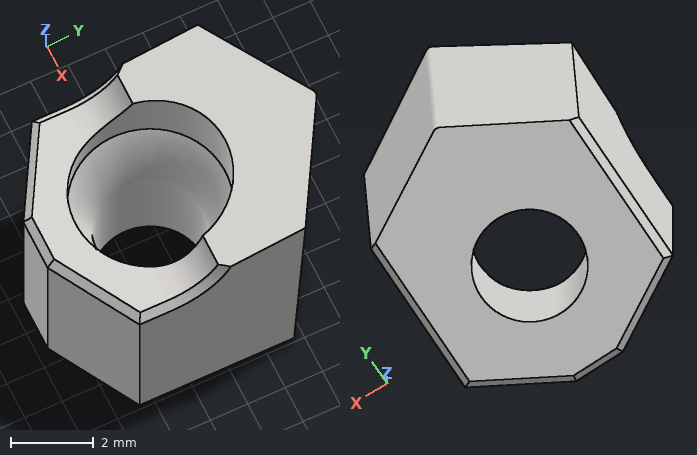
import cadquery as cq
import math

width = 6.0
length = 7.5
height = 6.5
half_width = width / 2
flank_angle = math.radians(30)
flank_rise = half_width * math.tan(flank_angle)
nose_y = -3.075
back_y = nose_y + length
back_lean = 0.33
back_round = 0.2
chamfer = 0.2

roof_angle = 10.0
ledge_z = 5.0
ledge_end_y = -0.86
step_radius = 1.5

bore_radius = 1.4
head_radius = 2.0
seat_z = 4.275
seat_radius = 2.5

clearance = 1.5


def front_blank():
    """Straight prism with the truncated hexagon nose, left long at the back."""
    corner_y = -flank_rise
    nose_half = half_width + (nose_y - corner_y) / math.tan(flank_angle)
    blank_back_y = back_y + clearance
    return (
        cq.Workplane("XY")
        .polyline([
            (-nose_half, nose_y),
            (nose_half, nose_y),
            (half_width, corner_y),
            (half_width, blank_back_y),
            (-half_width, blank_back_y),
            (-half_width, corner_y),
        ])
        .close()
        .extrude(height + clearance)
    )


def ledge_cutter():
    """Material above the ledge and in front of the concave step."""
    front_y = nose_y - clearance
    step_y = ledge_end_y + step_radius
    top_z = height + 2 * clearance
    arc_z = ledge_z + step_radius
    diagonal = step_radius * math.sqrt(0.5)
    return (
        cq.Workplane("YZ")
        .moveTo(front_y, ledge_z)
        .lineTo(ledge_end_y, ledge_z)
        .threePointArc((ledge_end_y + diagonal, arc_z - diagonal), (step_y, arc_z))
        .lineTo(step_y, top_z)
        .lineTo(front_y, top_z)
        .close()
        .extrude(width, both=True)
    )


def back_envelope():
    """Leaning prism with a rounded back corner and a sloping roof."""
    corner_loss = back_round * (1 / math.cos(flank_angle) - 1)
    sharp_y = back_y - back_lean + corner_loss
    round_x = back_round * math.sin(flank_angle)
    round_y = sharp_y - round_x * math.tan(flank_angle)
    outer_x = half_width + clearance
    outer_y = sharp_y - outer_x * math.tan(flank_angle)
    front_y = nose_y - clearance
    outline = (
        cq.Workplane("XY")
        .moveTo(-outer_x, front_y)
        .lineTo(outer_x, front_y)
        .lineTo(outer_x, outer_y)
        .lineTo(round_x, round_y)
        .threePointArc((0, back_y - back_lean), (-round_x, round_y))
        .lineTo(-outer_x, outer_y)
        .close()
        .val()
    )
    leaning = cq.Solid.extrudeLinear(outline, [], cq.Vector(0, back_lean, height))
    roof_front_z = height - (back_y - front_y) * math.tan(math.radians(roof_angle))
    under_roof = (
        cq.Workplane("YZ")
        .polyline([(front_y, 0), (back_y, 0), (back_y, height), (front_y, roof_front_z)])
        .close()
        .extrude(2 * width, both=True)
    )
    return cq.Workplane("XY").add(leaning).intersect(under_roof)


def bore_cutter():
    """Screw-head recess, convex flared seat and through bore as one revolved profile."""
    flare_width = head_radius - bore_radius
    flare_depth = math.sqrt(seat_radius**2 - (seat_radius - flare_width) ** 2)
    throat_z = seat_z - flare_depth
    half_angle = math.asin(flare_depth / seat_radius) / 2
    flare_mid = (
        bore_radius + seat_radius * (1 - math.cos(half_angle)),
        throat_z + seat_radius * math.sin(half_angle),
    )
    return (
        cq.Workplane("XZ")
        .moveTo(0, 0)
        .lineTo(bore_radius, 0)
        .lineTo(bore_radius, throat_z)
        .threePointArc(flare_mid, (head_radius, seat_z))
        .lineTo(head_radius, height)
        .lineTo(0, height)
        .close()
        .revolve(360, (0, 0, 0), (0, 1, 0))
    )


body = front_blank().faces("<Z").edges().chamfer(chamfer)
body = body.cut(ledge_cutter())

ledge_rim = cq.selectors.BoxSelector(
    (-width, nose_y - chamfer, ledge_z - chamfer),
    (width, ledge_end_y - chamfer, ledge_z + chamfer),
)
body = body.edges(ledge_rim).chamfer(chamfer)

result = body.intersect(back_envelope()).cut(bore_cutter())